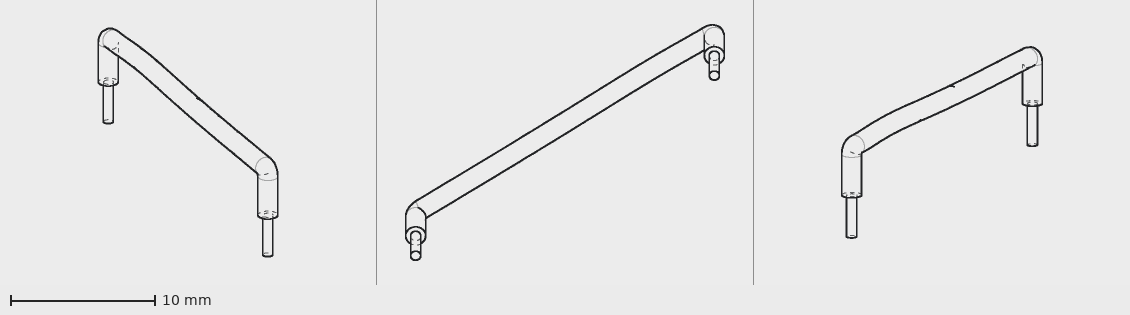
import cadquery as cq

length = 26.4
height = 7.42
wire_diameter = 1.4
pin_diameter = 0.7
shoulder_height = 3.0
bend_height = 5.97
bend_radius = 0.53

wire_radius = wire_diameter / 2
leg_x = length / 2 - wire_radius
bar_end_x = leg_x - bend_radius
bar_end_z = bend_height + bend_radius
crest_z = height - wire_radius

rise_point = (-9.42, 6.63)
crest_point = (-6.2, crest_z)
fall_point = (-2.9, 6.63)
level_point = (3.17, bar_end_z)


def make_leg(side):
    """Pin and insulated leg; side is -1 for left and +1 for right."""
    pin = (
        cq.Workplane("XY")
        .center(side * leg_x, 0)
        .circle(pin_diameter / 2)
        .extrude(bend_height)
    )
    sleeve = (
        cq.Workplane("XY", origin=(side * leg_x, 0, shoulder_height))
        .circle(wire_radius)
        .extrude(bend_height - shoulder_height)
    )
    return pin.union(sleeve)


def make_bend(side):
    """Quarter turn of the wire section, cut off at the bend axis since the bend is so tight."""
    axis_half_chord = (wire_radius**2 - bend_radius**2) ** 0.5
    return (
        cq.Workplane("XY", origin=(side * bar_end_x, 0, bend_height))
        .moveTo(0, -axis_half_chord)
        .threePointArc((side * (bend_radius + wire_radius), 0), (0, axis_half_chord))
        .close()
        .revolve(90, (0, 0, 0), (0, -side, 0))
    )


def make_bar():
    """Round bar following a bowed centreline between the bends."""
    left_end = (-bar_end_x, bar_end_z)
    right_end = (bar_end_x, bar_end_z)
    centreline = cq.Workplane("XZ").spline(
        [left_end, rise_point, crest_point, fall_point, level_point, right_end],
        tangents=[(1, 0), (1, 0)],
    )
    return (
        cq.Workplane("YZ", origin=(-bar_end_x, 0, bar_end_z))
        .circle(wire_radius)
        .sweep(centreline)
    )


result = make_bar()
for side in (-1, 1):
    result = result.union(make_bend(side)).union(make_leg(side))